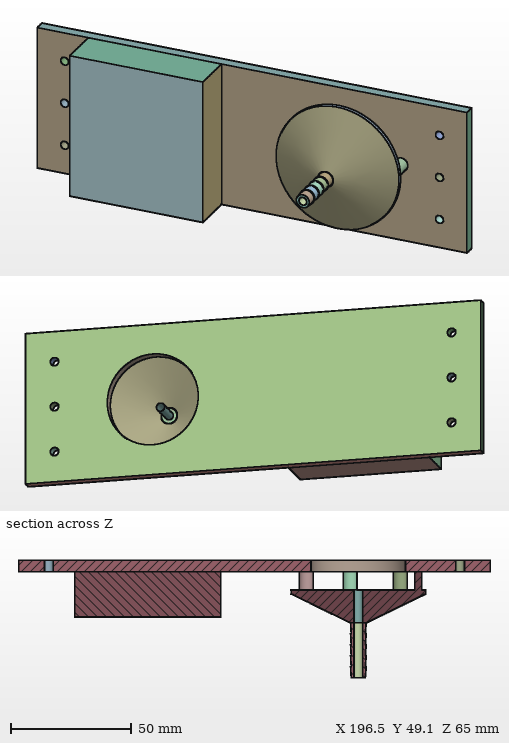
import cadquery as cq
import math

plate_length = 196.5
plate_height = 65.0
plate_thickness = 5.0
overall_depth = 49.1

screw_hole_diameter = 3.5
screw_hole_inset = 12.5
screw_hole_pitch = 19.5

box_left = 23.4
box_width = 60.9
box_depth = 18.9

axis_x = 141.5
axis_z = plate_height / 2
cup_radius = 28.0
cup_gap = 7.5
rim_thickness = 1.8
cone_length = 12.0
cone_tip_radius = 3.5
rim_front_y = -cup_gap - rim_thickness
cone_tip_y = rim_front_y - cone_length

post_count = 5
post_radius = 3.0
post_ring_radius = cup_radius - post_radius
first_post_angle = 158.6
post_angle_step = 51.8

opening_radius = 19.6

barb_count = 5
barb_base_radius = 3.3
barb_end_radius = 3.0
bore_radius = 1.8
nozzle_length = overall_depth - plate_thickness + cone_tip_y
barb_length = nozzle_length / barb_count


def cylinder_along_y(x, z, radius, front_y, back_y):
    """Solid cylinder parallel to Y, between front_y and back_y."""
    return (
        cq.Workplane("XZ", origin=(x, back_y, z))
        .circle(radius)
        .extrude(back_y - front_y)
    )


def revolve_about_cup_axis(profile):
    """Revolve a closed profile of (radius, y) points about the cup axis."""
    return (
        cq.Workplane("XY", origin=(axis_x, 0, axis_z))
        .polyline(profile)
        .close()
        .revolve(360, (0, 0), (0, 1))
    )


def make_plate():
    plate = cq.Workplane("XY").box(
        plate_length, plate_thickness, plate_height, centered=False
    )
    for x in (screw_hole_inset, plate_length - screw_hole_inset):
        for row in (-1, 0, 1):
            z = plate_height / 2 + row * screw_hole_pitch
            plate = plate.cut(
                cylinder_along_y(x, z, screw_hole_diameter / 2, 0, plate_thickness)
            )
    return plate.cut(
        cylinder_along_y(axis_x, axis_z, opening_radius, 0, plate_thickness)
    )


def make_box():
    return (
        cq.Workplane("XY", origin=(box_left, -box_depth, 0))
        .box(box_width, box_depth, plate_height, centered=False)
    )


def make_cup():
    """Bored cone and rim, with the posts that reach back to the plate."""
    cup = revolve_about_cup_axis([
        (bore_radius, -cup_gap),
        (cup_radius, -cup_gap),
        (cup_radius, rim_front_y),
        (cone_tip_radius, cone_tip_y),
        (bore_radius, cone_tip_y),
    ])
    for index in range(post_count):
        angle = math.radians(first_post_angle + index * post_angle_step)
        x = axis_x + post_ring_radius * math.cos(angle)
        z = axis_z + post_ring_radius * math.sin(angle)
        cup = cup.union(cylinder_along_y(x, z, post_radius, -cup_gap, 0))
    return cup


def make_nozzle():
    """Bored hose barb; each segment narrows towards the free end."""
    profile = [(bore_radius, cone_tip_y)]
    for index in range(barb_count):
        base_y = cone_tip_y - index * barb_length
        profile.append((barb_base_radius, base_y))
        profile.append((barb_end_radius, base_y - barb_length))
    profile.append((bore_radius, cone_tip_y - nozzle_length))
    return revolve_about_cup_axis(profile)


plate = make_plate()
box = make_box()
cup = make_cup()
nozzle = make_nozzle()

result = cq.Compound.makeCompound([plate.val(), box.val(), cup.val(), nozzle.val()])